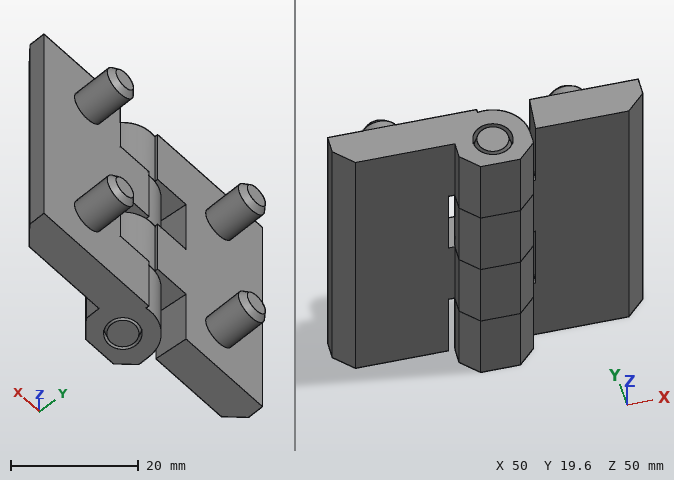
import cadquery as cq

hinge_width = 50.0
hinge_height = 50.0
plate_thickness = 6.0
edge_chamfer = 3.0
back_gap = 2.0

knuckle_count = 4
knuckle_height = hinge_height / knuckle_count
barrel_radius = 6.0
axis_y = -6.5
barrel_front_y = -11.5
barrel_chamfer = 2.8

slot_front_x = 7.0
slot_back_x = 7.5

pin_diameter = 6.0
pin_tip_diameter = 5.0
pin_taper_length = 1.85
loose_bore_diameter = 6.3

stud_diameter = 6.0
stud_shank = 7.0
stud_spacing = 30.0
left_stud_length = 8.05
left_stud_tip_diameter = 4.15
right_stud_length = 7.95
right_stud_tip_diameter = 4.0


def knuckle_bottom(index):
    """Lower end of a knuckle, counted from the bottom of the hinge."""
    return -hinge_height / 2 + index * knuckle_height


def leaf_blank():
    """Full-height leaf: a plate that runs into the barrel on the hinge axis."""
    outer_x = -hinge_width / 2
    gap_x = -back_gap / 2
    gap_floor_y = axis_y + (barrel_radius**2 - gap_x**2) ** 0.5
    arc_offset = barrel_radius * 0.5**0.5
    return (
        cq.Workplane("XY", origin=(0, 0, -hinge_height / 2))
        .moveTo(outer_x, 0)
        .lineTo(gap_x, 0)
        .lineTo(gap_x, gap_floor_y)
        .threePointArc((arc_offset, axis_y + arc_offset), (barrel_radius, axis_y))
        .lineTo(barrel_radius, barrel_front_y + barrel_chamfer)
        .lineTo(barrel_radius - barrel_chamfer, barrel_front_y)
        .lineTo(-barrel_radius + barrel_chamfer, barrel_front_y)
        .lineTo(-barrel_radius, barrel_front_y + barrel_chamfer)
        .lineTo(-barrel_radius, -plate_thickness)
        .lineTo(outer_x + edge_chamfer, -plate_thickness)
        .lineTo(outer_x, -plate_thickness + edge_chamfer)
        .close()
        .extrude(hinge_height)
    )


def knuckle_slot(index):
    """Space for one knuckle of the other leaf, with a slanted wall on the plate side."""
    return (
        cq.Workplane("XY", origin=(0, 0, knuckle_bottom(index)))
        .polyline(
            [
                (-slot_back_x, 0),
                (barrel_radius, 0),
                (barrel_radius, barrel_front_y),
                (-slot_front_x, barrel_front_y),
                (-slot_front_x, -plate_thickness),
            ]
        )
        .close()
        .extrude(knuckle_height)
    )


def pin_bore(diameter):
    """Cylinder along the hinge axis that bores through every knuckle."""
    return (
        cq.Workplane("XY", origin=(0, axis_y, -hinge_height / 2))
        .circle(diameter / 2)
        .extrude(hinge_height)
    )


def make_leaf(bore_diameter):
    """Leaf on the left side, which owns the top knuckle and every second one below it."""
    leaf = leaf_blank()
    for index in range(0, knuckle_count, 2):
        leaf = leaf.cut(knuckle_slot(index))
    return leaf.cut(pin_bore(bore_diameter))


def make_pin():
    """Pin as tall as the hinge, with a slender taper at each end."""
    half_height = hinge_height / 2
    shank_half_height = half_height - pin_taper_length
    return (
        cq.Workplane("XZ")
        .polyline(
            [
                (0, -half_height),
                (pin_tip_diameter / 2, -half_height),
                (pin_diameter / 2, -shank_half_height),
                (pin_diameter / 2, shank_half_height),
                (pin_tip_diameter / 2, half_height),
                (0, half_height),
            ]
        )
        .close()
        .revolve(360, (0, 0, 0), (0, 1, 0))
        .translate((0, axis_y, 0))
    )


def make_stud(x, z, length, tip_diameter):
    """Stud standing on the back of a plate, with a conical tip."""
    return (
        cq.Workplane("XY")
        .polyline(
            [
                (0, 0),
                (stud_diameter / 2, 0),
                (stud_diameter / 2, stud_shank),
                (tip_diameter / 2, length),
                (0, length),
            ]
        )
        .close()
        .revolve(360, (0, 0, 0), (0, 1, 0))
        .translate((x, 0, z))
    )


left_leaf = make_leaf(loose_bore_diameter)
right_leaf = make_leaf(pin_diameter).rotate((0, 0, 0), (0, 1, 0), 180)
pin = make_pin()

studs = []
for stud_z in (-stud_spacing / 2, stud_spacing / 2):
    studs.append(make_stud(-stud_spacing / 2, stud_z, left_stud_length, left_stud_tip_diameter))
    studs.append(make_stud(stud_spacing / 2, stud_z, right_stud_length, right_stud_tip_diameter))

result = cq.Compound.makeCompound(
    [left_leaf.val(), right_leaf.val(), pin.val(), *[stud.val() for stud in studs]]
)